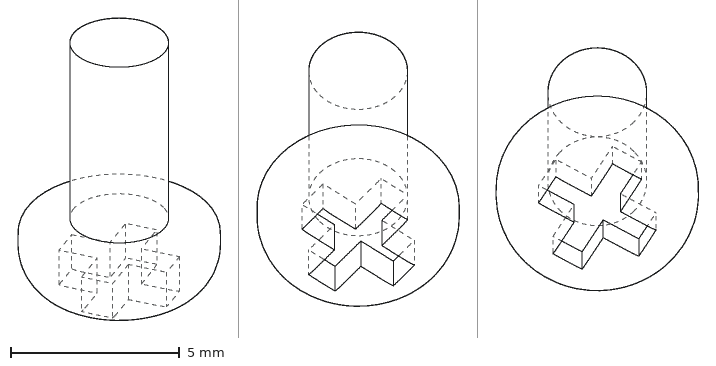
import cadquery as cq

shank_diameter = 2.93
shank_length = 6.0
head_diameter = 6.0
head_height = 2.4
shoulder_round = 0.5
crown_round = 1.5
recess_width = 1.0
recess_span = 3.45
recess_depth = head_height / 2


def make_head():
    """Pan head below Z = 0, rounded on both rims."""
    head = cq.Workplane("XY").circle(head_diameter / 2).extrude(-head_height)
    head = head.faces(">Z").edges().fillet(shoulder_round)
    return head.faces("<Z").edges().fillet(crown_round)


def make_shank():
    """Plain cylindrical shank rising from the head's bearing face."""
    return cq.Workplane("XY").circle(shank_diameter / 2).extrude(shank_length)


def make_cross_recess():
    """Cutter for the driver cross in the outer end of the head, arms along X and Y."""
    crown = cq.Workplane("XY").workplane(offset=-head_height)
    arm_along_x = crown.rect(recess_span, recess_width).extrude(recess_depth)
    arm_along_y = crown.rect(recess_width, recess_span).extrude(recess_depth)
    return arm_along_x.union(arm_along_y)


result = make_head().union(make_shank()).cut(make_cross_recess())